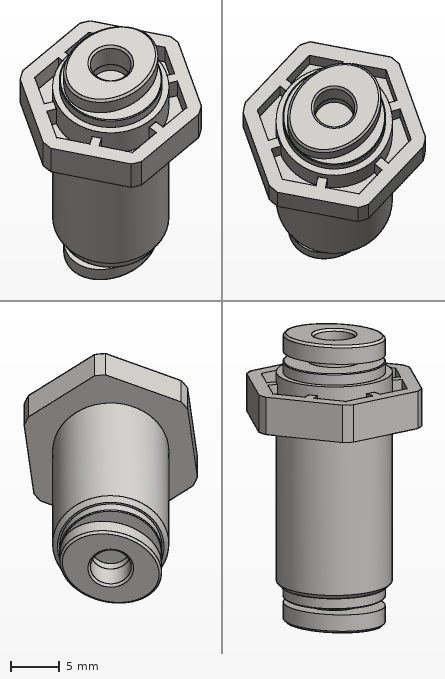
import cadquery as cq
import math

TOTAL_HEIGHT = 30.8
HEAD_HEIGHT = 2.0
NECK_HEIGHT = 0.8
COLLAR_HEIGHT = 1.2
BODY_TOP = TOTAL_HEIGHT / 2 - HEAD_HEIGHT - NECK_HEIGHT - COLLAR_HEIGHT
BODY_BOTTOM = -BODY_TOP
NECK_LENGTH = NECK_HEIGHT + COLLAR_HEIGHT

BODY_DIAMETER = 12.0
BODY_CHAMFER = 0.5

HEX_ACROSS_FLATS = 17.0
HEX_CORNER_DIAMETER = 19.0
HEX_HEIGHT = 4.0
HEX_SETBACK = 1.0
HEX_TOP = BODY_TOP - HEX_SETBACK
POCKET_ACROSS_FLATS = 14.0
POCKET_DEPTH = 2.5
RIB_WIDTH = 1.0

COLLAR_DIAMETER = 10.6
COLLAR_CHAMFER = 0.1

HEAD_WIDTH = 8.6
HEAD_LENGTH = 10.8
HEAD_CHAMFER = 0.25
NECK_DIAMETER = 5.5
TUBE_BORE = 4.2
TUBE_BORE_DEPTH = 3.0
INNER_BORE = 4.18
BORE_CHAMFER = 0.25


def hexagon(across_flats, bottom, height):
    """Hexagonal prism with two flats facing +X and -X."""
    across_corners = across_flats / math.cos(math.radians(30))
    prism = cq.Workplane("XY").polygon(6, across_corners).extrude(height)
    return prism.rotate((0, 0, 0), (0, 0, 1), 30).translate((0, 0, bottom))


def cylinder(diameter, bottom, height):
    return cq.Workplane("XY").workplane(offset=bottom).circle(diameter / 2).extrude(height)


def make_flange_pockets():
    """Ring of six pockets in the top of the flange, parted by ribs at the flats."""
    floor = HEX_TOP - POCKET_DEPTH
    pockets = hexagon(POCKET_ACROSS_FLATS, floor, POCKET_DEPTH)
    pockets = pockets.cut(cylinder(BODY_DIAMETER, floor, POCKET_DEPTH))
    for angle in (0, 60, 120):
        rib = cq.Workplane("XY").rect(HEX_ACROSS_FLATS, RIB_WIDTH).extrude(POCKET_DEPTH)
        rib = rib.rotate((0, 0, 0), (0, 0, 1), angle).translate((0, 0, floor))
        pockets = pockets.cut(rib)
    return pockets


def make_body():
    barrel = cylinder(BODY_DIAMETER, BODY_BOTTOM, BODY_TOP - BODY_BOTTOM)
    barrel = barrel.faces("<Z").chamfer(BODY_CHAMFER)
    flange_bottom = HEX_TOP - HEX_HEIGHT
    flange = hexagon(HEX_ACROSS_FLATS, flange_bottom, HEX_HEIGHT)
    flange = flange.intersect(cylinder(HEX_CORNER_DIAMETER, flange_bottom, HEX_HEIGHT))
    flange = flange.cut(make_flange_pockets())
    return barrel.union(flange)


def make_collar():
    """Upper collar: a ring resting on the body end, around the button neck."""
    collar = cylinder(COLLAR_DIAMETER, BODY_TOP, COLLAR_HEIGHT)
    collar = collar.faces(">Z").edges().chamfer(COLLAR_CHAMFER)
    return collar.cut(cylinder(NECK_DIAMETER, BODY_TOP, COLLAR_HEIGHT))


def make_button():
    """Upper release button: an oval head on a round neck, bored for the tube with a slight step."""
    neck = cylinder(NECK_DIAMETER, BODY_TOP, NECK_LENGTH)
    head = cq.Workplane("XY").workplane(offset=BODY_TOP + NECK_LENGTH)
    head = head.ellipse(HEAD_WIDTH / 2, HEAD_LENGTH / 2).extrude(HEAD_HEIGHT)
    head = head.faces(">Z").edges().chamfer(HEAD_CHAMFER)
    inner_bore = cylinder(INNER_BORE, BODY_TOP, NECK_LENGTH + HEAD_HEIGHT)
    tube_bore = cylinder(TUBE_BORE, TOTAL_HEIGHT / 2 - TUBE_BORE_DEPTH, TUBE_BORE_DEPTH)
    button = neck.union(head).cut(inner_bore).cut(tube_bore)
    return button.faces(">Z").edges("%CIRCLE").chamfer(BORE_CHAMFER)


def mirrored(shape):
    """Copy for the lower end of the fitting."""
    return shape.mirror("XY")


body = make_body()
collar = make_collar()
button = make_button()

bodies = [body.val()]
for part in (collar, button):
    bodies.append(part.val())
    bodies.append(mirrored(part).val())

result = cq.Compound.makeCompound(bodies)